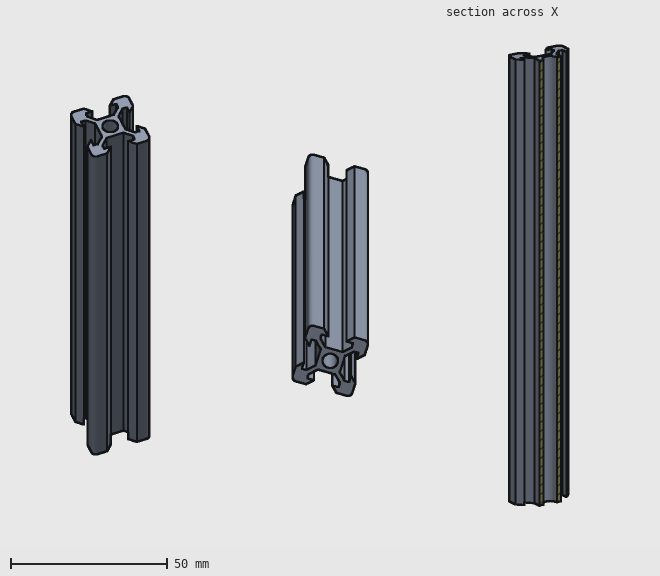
import cadquery as cq
import math

length = 150.0
side = 20.0
half_side = side / 2
corner_radius = 1.5

core_half_width = 4.0
bore_diameter = 5.0

lip_thickness = 2.1
mouth_half_width = 3.0
chamber_half_width = 5.2
web_thickness = 1.6

lip_inner = half_side - lip_thickness
flare_half_width = mouth_half_width + lip_thickness

web_offset = web_thickness / 2 * math.sqrt(2)
floor_half_width = core_half_width - web_offset
chamber_corner = chamber_half_width + web_offset


def make_slot():
    """Cutter for the slot on the +Y side."""
    right_edge = [
        (floor_half_width, core_half_width),
        (chamber_half_width, chamber_corner),
        (chamber_half_width, lip_inner),
        (mouth_half_width, lip_inner),
        (flare_half_width, half_side),
    ]
    left_edge = [(-x, y) for x, y in reversed(right_edge)]
    return cq.Workplane("XY").polyline(right_edge + left_edge).close().extrude(length)


bar = cq.Workplane("XY").rect(side, side).extrude(length)
bar = bar.edges("|Z").fillet(corner_radius)

slot = make_slot()
for angle in (0, 90, 180, 270):
    bar = bar.cut(slot.rotate((0, 0, 0), (0, 0, 1), angle))

bore = cq.Workplane("XY").circle(bore_diameter / 2).extrude(length)
result = bar.cut(bore)